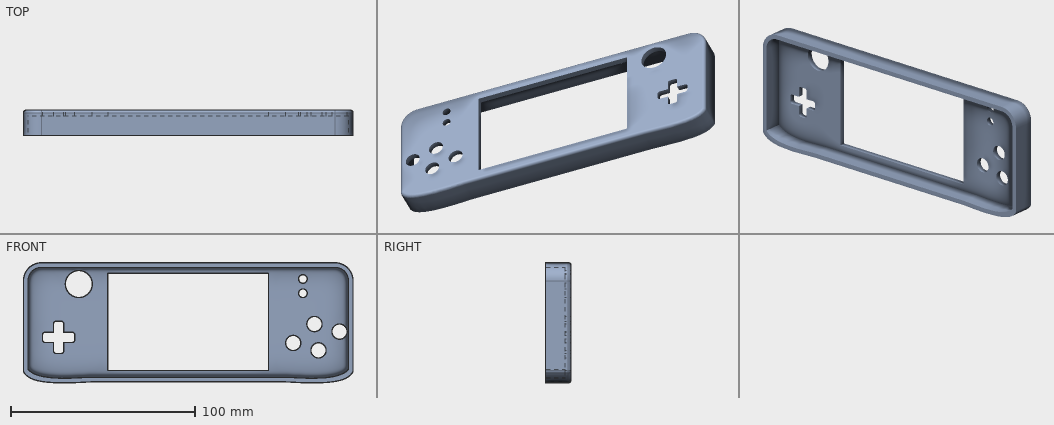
import math

import cadquery as cq

WIDTH = 178.82
DEPTH = 13.97
HEIGHT = 65.27

WALL = 2.54
PLATE_THICKNESS = 3.2
TOP_CORNER_RADIUS = 10.0
PLATE_EDGE_RADIUS = 1.7

GRIP_DIP = 0.55
GRIP_LENGTH = 36.8

GRIP_CORNER_RADIUS = 2.5
GRIP_CORNER_ANGLE = math.radians(36)
GRIP_CORNER_HEIGHT = 6.9
GRIP_CORNER_END = (
    GRIP_CORNER_RADIUS * (1 - math.cos(GRIP_CORNER_ANGLE)),
    GRIP_CORNER_HEIGHT - GRIP_CORNER_RADIUS * math.sin(GRIP_CORNER_ANGLE),
)

GRIP_CORNER_PULL = 5.5
GRIP_CORNER_POLE = (
    GRIP_CORNER_END[0] + GRIP_CORNER_PULL * math.sin(GRIP_CORNER_ANGLE),
    GRIP_CORNER_END[1] - GRIP_CORNER_PULL * math.cos(GRIP_CORNER_ANGLE),
)
OUTER_GRIP_POLES = [GRIP_CORNER_END, GRIP_CORNER_POLE, (11.0, -1.08), (GRIP_LENGTH, GRIP_DIP)]
INNER_GRIP_POLES = [(WALL, 7.36), (7.0, 2.4), (18.0, 1.8), (GRIP_LENGTH, GRIP_DIP + WALL)]

SCREEN_WIDTH = 87.0
SCREEN_HEIGHT = 52.6
SCREEN_CENTER = (-0.1, 0.5)

STICK_DIAMETER = 14.5
STICK_CENTER = (-59.3, 21.0)

DPAD_CENTER = (-70.25, -7.9)
DPAD_SPAN = 17.4
DPAD_ARM_WIDTH = 5.4
DPAD_TIP_RADIUS = 1.3

BUTTON_DIAMETER = 8.13
BUTTON_CENTERS = [(68.4, -0.7), (82.0, -4.8), (56.9, -10.95), (70.6, -14.95)]

SMALL_BUTTON_DIAMETER = 4.57
SMALL_BUTTON_CENTERS = [(62.15, 23.75), (62.15, 16.0)]

HALF_WIDTH = WIDTH / 2
TOP = HEIGHT / 2
LOWEST = -HEIGHT / 2
PLATE_Y = DEPTH / 2
CUT_LENGTH = 2 * DEPTH


def sketch_plane(y):
    """XZ sketch plane at the given Y; extrusion runs toward -Y."""
    return cq.Workplane("XZ", origin=(0, y, 0))


def outline(y, inset, grip_poles, grip_corner_radius=0.0):
    """Outline set in from the outer sides, with round top corners and curved grips below.

    A positive grip_corner_radius rounds the joint between each side and its grip curve.
    """
    side = HALF_WIDTH - inset
    top = TOP - inset
    radius = TOP_CORNER_RADIUS - inset
    right_grip = [(HALF_WIDTH - distance, LOWEST + height) for distance, height in grip_poles]
    left_grip = [(-x, z) for x, z in reversed(right_grip)]
    corner_z = LOWEST + GRIP_CORNER_HEIGHT

    sketch = (
        sketch_plane(y)
        .moveTo(radius - side, top)
        .lineTo(side - radius, top)
        .radiusArc((side, top - radius), radius)
    )
    if grip_corner_radius > 0:
        sketch = sketch.lineTo(side, corner_z).radiusArc(right_grip[0], grip_corner_radius)
    else:
        sketch = sketch.lineTo(*right_grip[0])
    sketch = (
        sketch
        .bezier(right_grip[1:], includeCurrent=True)
        .lineTo(*left_grip[0])
        .bezier(left_grip[1:], includeCurrent=True)
    )
    if grip_corner_radius > 0:
        sketch = sketch.radiusArc((-side, corner_z), grip_corner_radius)
    return sketch.lineTo(-side, top - radius).radiusArc((radius - side, top), radius).close()


def shell():
    """Tray with the plate on the +Y side, open toward -Y."""
    body = outline(PLATE_Y, 0, OUTER_GRIP_POLES, GRIP_CORNER_RADIUS).extrude(DEPTH)
    body = body.faces(">Y").edges().fillet(PLATE_EDGE_RADIUS)
    cavity = outline(PLATE_Y - PLATE_THICKNESS, WALL, INNER_GRIP_POLES).extrude(DEPTH)
    return body.cut(cavity)


def round_holes(centers, diameter):
    """Cylinders that cut round holes through the plate."""
    return sketch_plane(DEPTH).pushPoints(centers).circle(diameter / 2).extrude(CUT_LENGTH)


def screen_opening():
    """Rectangular block that cuts the screen window."""
    return sketch_plane(DEPTH).center(*SCREEN_CENTER).rect(SCREEN_WIDTH, SCREEN_HEIGHT).extrude(CUT_LENGTH)


def dpad_opening():
    """Plus-shaped opening with rounded arm tips."""
    sketch = sketch_plane(DEPTH).center(*DPAD_CENTER)
    across = sketch.rect(DPAD_SPAN, DPAD_ARM_WIDTH).extrude(CUT_LENGTH)
    upright = sketch.rect(DPAD_ARM_WIDTH, DPAD_SPAN).extrude(CUT_LENGTH)
    rounded_arms = [arm.edges("|Y").fillet(DPAD_TIP_RADIUS) for arm in (across, upright)]
    return rounded_arms[0].union(rounded_arms[1])


result = (
    shell()
    .cut(screen_opening())
    .cut(dpad_opening())
    .cut(round_holes([STICK_CENTER], STICK_DIAMETER))
    .cut(round_holes(BUTTON_CENTERS, BUTTON_DIAMETER))
    .cut(round_holes(SMALL_BUTTON_CENTERS, SMALL_BUTTON_DIAMETER))
)